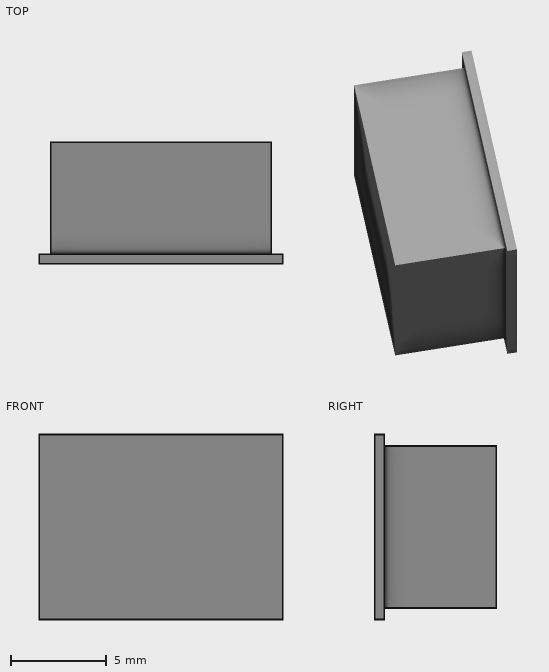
import cadquery as cq

flange_width = 12.7
flange_height = 9.65
total_depth = 6.35

flange_thickness = 0.51
flange_overhang = 0.6

body_width = flange_width - 2 * flange_overhang
body_height = flange_height - 2 * flange_overhang
body_depth = total_depth - flange_thickness


def block(width, depth, height, front_y):
    """Rectangular block centred on X and Z, running from front_y toward +Y."""
    return cq.Workplane("XY").box(width, depth, height, centered=(True, False, True)).translate((0, front_y, 0))


flange = block(flange_width, flange_thickness, flange_height, 0)
body = block(body_width, body_depth, body_height, flange_thickness)

result = flange.union(body)